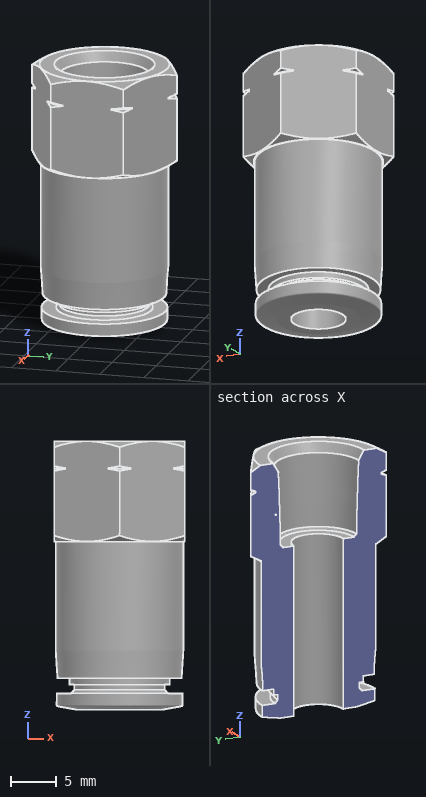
import cadquery as cq
import math

total_height = 29.4
hex_height = 11.0
hex_bottom = total_height - hex_height

hex_across_flats = 14.29
hex_across_corners = hex_across_flats / math.cos(math.radians(30))
hex_face_diameter = 14.2
hex_chamfer_angle = 30
envelope_clearance = 1.0

nick_below_top = 3.0
nick_root_diameter = 15.3
nick_root_height = 0.1
nick_mouth_height = 0.56

body_diameter = 14.0
body_end_diameter = 13.6
body_taper_top = 6.5
body_bottom = 3.44

collar_diameter = 11.0
collar_bottom = 2.76
neck_diameter = 9.94
flare_top = 2.2
flare_diameter = 10.6
ring_diameter = 13.8
ring_top = 1.82
ring_edge_height = 0.41
ring_edge_radius = 0.18
ring_end_diameter = 9.3

mouth_diameter = 11.0
mouth_angle = 30
thread_diameter = 9.728
thread_taper = 1 / 16
thread_length = 8.4
seat_diameter = 8.57
seat_angle = 45
bore_diameter = 6.0


def slope_height(outer_diameter, inner_diameter, half_angle):
    """Axial length of a cone between two diameters; the angle is taken from the axis."""
    return (outer_diameter - inner_diameter) / 2 / math.tan(math.radians(half_angle))


def revolve_profile(points):
    """Solid of revolution about Z from (diameter, height) points."""
    outline = [(diameter / 2, height) for diameter, height in points]
    return cq.Workplane("XZ").polyline(outline).close().revolve(360, (0, 0), (0, 1))


def make_hex_head():
    """Hexagon with two corners on the Y axis, cone-chamfered at both ends."""
    prism = (
        cq.Workplane("XY")
        .workplane(offset=hex_bottom)
        .polygon(6, hex_across_corners)
        .extrude(hex_height)
        .rotate((0, 0, 0), (0, 0, 1), 90)
    )
    envelope_diameter = hex_across_corners + envelope_clearance
    drop = slope_height(envelope_diameter, hex_face_diameter, 90 - hex_chamfer_angle)
    envelope = revolve_profile([
        (0, hex_bottom),
        (hex_face_diameter, hex_bottom),
        (envelope_diameter, hex_bottom + drop),
        (envelope_diameter, total_height - drop),
        (hex_face_diameter, total_height),
        (0, total_height),
    ])
    return prism.intersect(envelope)


def make_corner_nicks():
    """Ring with a narrow-rooted V section whose mouth width is reached at the hexagon corners."""
    nick_z = total_height - nick_below_top
    half_root = nick_root_height / 2
    half_mouth = nick_mouth_height / 2
    return revolve_profile([
        (nick_root_diameter, nick_z + half_root),
        (nick_root_diameter, nick_z - half_root),
        (hex_across_corners, nick_z - half_mouth),
        (hex_across_corners, nick_z + half_mouth),
    ])


def make_body():
    """Round body with its tapered end and the narrower collar and neck below it."""
    return revolve_profile([
        (0, flare_top),
        (neck_diameter, flare_top),
        (neck_diameter, collar_bottom),
        (collar_diameter, collar_bottom),
        (collar_diameter, body_bottom),
        (body_end_diameter, body_bottom),
        (body_diameter, body_taper_top),
        (body_diameter, hex_bottom),
        (0, hex_bottom),
    ])


def make_release_ring():
    """Release ring with a shallow conical end, a rounded rim and a flare up to the neck."""
    ring = revolve_profile([
        (0, 0),
        (ring_end_diameter, 0),
        (ring_diameter, ring_edge_height),
        (ring_diameter, ring_top),
        (0, ring_top),
    ])
    rim_selector = cq.selectors.BoxSelector(
        (-ring_diameter, -ring_diameter, ring_edge_height / 2),
        (ring_diameter, ring_diameter, ring_top / 2),
    )
    ring = ring.edges(rim_selector).fillet(ring_edge_radius)
    flare = revolve_profile([
        (0, ring_top),
        (flare_diameter, ring_top),
        (neck_diameter, flare_top),
        (0, flare_top),
    ])
    return ring.union(flare)


def make_bore():
    """Countersunk taper socket, conical seat and straight through bore."""
    thread_top = total_height - slope_height(mouth_diameter, thread_diameter, mouth_angle)
    thread_bottom = thread_top - thread_length
    thread_end_diameter = thread_diameter - thread_taper * thread_length
    seat_bottom = thread_bottom - slope_height(thread_end_diameter, seat_diameter, seat_angle)
    return revolve_profile([
        (0, 0),
        (bore_diameter, 0),
        (bore_diameter, seat_bottom),
        (seat_diameter, seat_bottom),
        (thread_end_diameter, thread_bottom),
        (thread_diameter, thread_top),
        (mouth_diameter, total_height),
        (0, total_height),
    ])


head = make_hex_head().cut(make_corner_nicks())
result = head.union(make_body()).union(make_release_ring()).cut(make_bore())